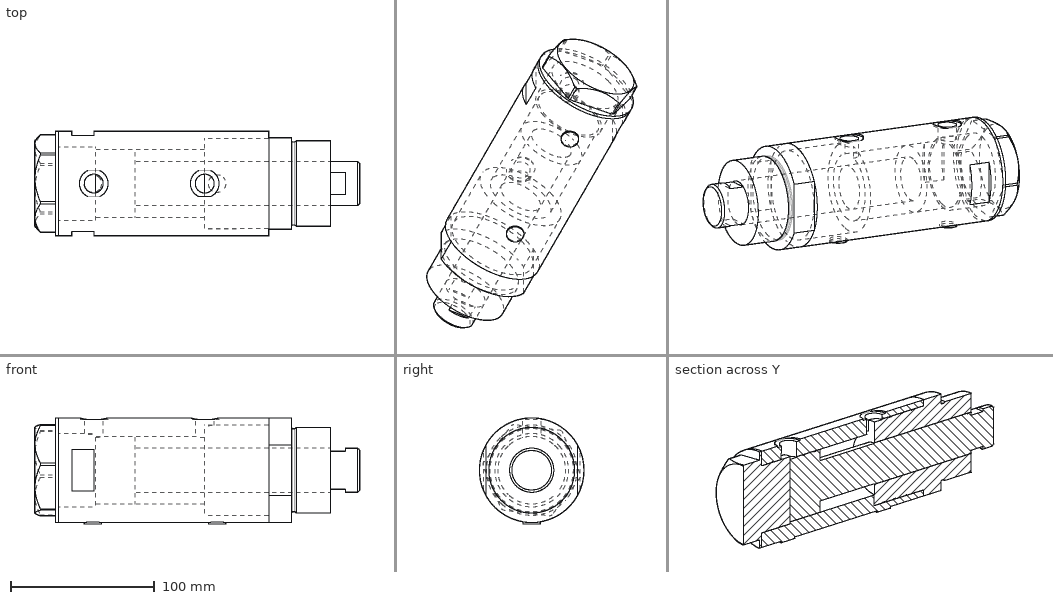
import cadquery as cq
import math


flange_start = 14.5
housing_start = 16.8
cap_spigot_end = 42.5
gland_shank_start = 118.5
housing_end = 163.0
gland_collar_end = 179.0
nose_start = 182.3
nose_end = 206.1
rod_end = 226.5

body_radius = 36.5
cap_spigot_radius = 25.5
piston_radius = 23.5
gland_shank_radius = 31.5
nose_radius = 30.0
relief_radius = 29.0
rod_radius = 15.5

hex_across_flats = 60.0
hex_corner_radius = 34.2
hex_face_radius = 29.7
hex_chamfer_length = 4.0
hex_turn = -7.0

slot_start = 26.0
slot_width = 15.2
slot_flat_offset = 33.5
port_positions = (41.2, 118.5)
port_radius = 6.5
spotface_radius = 10.0
spotface_height = 35.3
boss_positions = (40.5, 127.0)
boss_radius = 6.1
boss_bottom = -37.5

collar_flat_offset = 32.0
relief_fillet = 0.7
relief_cone_angle = math.radians(40)

piston_length = 27.2
rod_flat_offset = 13.4
rod_flat_end = 216.3
rod_chamfer = 1.5


def cylinder_x(start, end, radius):
    """Solid cylinder on the X axis between two stations."""
    return cq.Workplane("YZ").workplane(offset=start).circle(radius).extrude(end - start)


def cylinder_z(x, bottom, top, radius):
    """Vertical cylinder that stands over the X axis at station x."""
    return cq.Workplane("XY", origin=(x, 0, bottom)).circle(radius).extrude(top - bottom)


def revolve_x(points):
    """Turn an (axial, radial) outline about the X axis."""
    return cq.Workplane("XY").polyline(points).close().revolve(360, (0, 0, 0), (1, 0, 0))


def flat_cutters(start, end, offset, axis):
    """Pair of blocks that cut opposite flats at the given offset along Y or Z."""
    size = 2 * body_radius
    cutters = cq.Workplane("XY")
    for side in (-1, 1):
        shift = side * (offset + size / 2)
        y, z = (shift, 0) if axis == "Y" else (0, shift)
        block = cq.Workplane("XY").box(end - start, size, size)
        cutters = cutters.add(block.translate(((start + end) / 2, y, z)))
    return cutters.combine()


def make_cap():
    """Hex end cap with a round flange and a spigot inside the housing."""
    corner_diameter = hex_across_flats / math.cos(math.radians(30))
    hexagon = cq.Workplane("YZ").polygon(6, corner_diameter).extrude(flange_start)
    hexagon = hexagon.rotate((0, 0, 0), (1, 0, 0), hex_turn)
    chamfered_blank = revolve_x([
        (0, 0),
        (0, hex_face_radius),
        (hex_chamfer_length, hex_corner_radius),
        (flange_start, hex_corner_radius),
        (flange_start, 0),
    ])
    flange = cylinder_x(flange_start, housing_start, body_radius)
    spigot = cylinder_x(housing_start, cap_spigot_end, cap_spigot_radius)
    return hexagon.intersect(chamfered_blank).union(flange).union(spigot)


def make_housing():
    """Tube with a stepped bore, wrench slots, two ports and two bottom bosses."""
    housing = cylinder_x(housing_start, housing_end, body_radius)
    for x in boss_positions:
        housing = housing.union(cylinder_z(x, boss_bottom, 0, boss_radius))
    slots = flat_cutters(slot_start, slot_start + slot_width, slot_flat_offset, "Y")
    housing = housing.cut(slots)
    for x in port_positions:
        housing = housing.cut(cylinder_z(x, 0, body_radius, port_radius))
        housing = housing.cut(cylinder_z(x, spotface_height, body_radius, spotface_radius))

    cap_seat = cylinder_x(housing_start, cap_spigot_end, cap_spigot_radius)
    bore = cylinder_x(cap_spigot_end, gland_shank_start, piston_radius)
    gland_seat = cylinder_x(gland_shank_start, housing_end, gland_shank_radius)
    return housing.cut(cap_seat).cut(bore).cut(gland_seat)


def make_nose():
    """Turned nose whose relief blends into the collar and into a cone up to full radius."""
    blend_length = relief_fillet * math.sin(relief_cone_angle)
    blend_radius = relief_radius + relief_fillet * (1 - math.cos(relief_cone_angle))
    cone_start = nose_start - (nose_radius - blend_radius) / math.tan(relief_cone_angle)
    outline = (
        cq.Workplane("XY")
        .moveTo(gland_collar_end, 0)
        .lineTo(gland_collar_end, relief_radius + relief_fillet)
        .radiusArc((gland_collar_end + relief_fillet, relief_radius), -relief_fillet)
        .lineTo(cone_start - blend_length, relief_radius)
        .radiusArc((cone_start, blend_radius), -relief_fillet)
        .lineTo(nose_start, nose_radius)
        .lineTo(nose_end, nose_radius)
        .lineTo(nose_end, 0)
        .close()
    )
    return outline.revolve(360, (0, 0, 0), (1, 0, 0))


def make_gland():
    """Rod guide: shank in the housing, flatted collar, thread relief and nose."""
    collar = cylinder_x(housing_end, gland_collar_end, body_radius)
    collar = collar.cut(flat_cutters(housing_end, gland_collar_end, collar_flat_offset, "Y"))
    shank = cylinder_x(gland_shank_start, housing_end, gland_shank_radius)
    nose = make_nose()
    rod_hole = cylinder_x(gland_shank_start, nose_end, rod_radius)
    return shank.union(collar).union(nose).cut(rod_hole)


def make_piston_rod():
    """Piston resting on the cap spigot, with a rod that leaves through the gland."""
    piston = cylinder_x(cap_spigot_end, cap_spigot_end + piston_length, piston_radius)
    rod = cylinder_x(cap_spigot_end, rod_end, rod_radius).faces(">X").chamfer(rod_chamfer)
    rod = rod.cut(flat_cutters(nose_end, rod_flat_end, rod_flat_offset, "Z"))
    return piston.union(rod)


cap = make_cap()
housing = make_housing()
gland = make_gland()
piston_rod = make_piston_rod()

result = cq.Compound.makeCompound([cap.val(), housing.val(), gland.val(), piston_rod.val()])